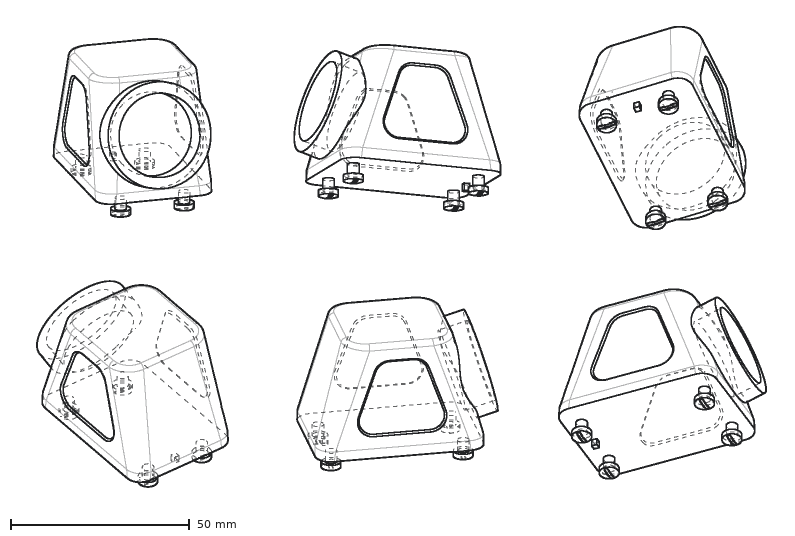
import cadquery as cq
import math

BASE_LENGTH = 48.0
BASE_WIDTH = 33.8
RING_HEIGHT = 3.05
RING_BOTTOM_CORNER = 4.5
RING_TOP_CORNER = 4.9
BODY_TOP = 34.0
END_DRAFT = 15.2
TOP_WIDTH = 31.1
TOP_CORNER = 7.0
TOP_EDGE_FILLET = 1.6

TUBE_DIAMETER = 30.0
BORE_DIAMETER = 23.6
TUBE_MOUTH_MAX_X = 53.65
TUBE_MOUTH_MIN_Z = 5.15
TUBE_LENGTH = 9.65
BORE_DEPTH = 8.6

RECESS_BOTTOM_Z = 6.6
RECESS_TOP_Z = 29.1
RECESS_BOTTOM_LENGTH = 29.3
RECESS_TOP_LENGTH = 13.4
RECESS_CORNER = 4.65
RECESS_DEPTH = 0.55
RECESS_BEVEL = 45.0

SCREW_SPACING_X = 37.65
SCREW_SPACING_Y = 18.55
SHAFT_DIAMETER = 3.3
SHAFT_LENGTH = 3.3
HEAD_DIAMETER = 5.6
HEAD_RIM = 1.6
HEAD_DOME = 0.6
SLOT_WIDTH = 1.0
SLOT_DEPTH = 0.45

PIN_SIDE = 1.6
PIN_LENGTH = 2.05

CENTER_X = BASE_LENGTH / 2
END_TAN = math.tan(math.radians(END_DRAFT))
BODY_HEIGHT = BODY_TOP - RING_HEIGHT
TOP_LENGTH = BASE_LENGTH - 2 * BODY_HEIGHT * END_TAN
SIDE_DRAFT = math.degrees(math.atan((BASE_WIDTH - TOP_WIDTH) / 2 / BODY_HEIGHT))


def rounded_rectangle(length, width, corner, z):
    """Closed outline centred on the hood at height z."""
    plane = cq.Workplane(origin=(CENTER_X, 0, z))
    plate = plane.rect(length, width).extrude(0.55).edges("|Z").fillet(corner)
    return plate.faces("<Z").wires().val()


def make_hood():
    ring_bottom = rounded_rectangle(BASE_LENGTH, BASE_WIDTH, RING_BOTTOM_CORNER, 0)
    ring_top = rounded_rectangle(BASE_LENGTH, BASE_WIDTH, RING_TOP_CORNER, RING_HEIGHT)
    body_top = rounded_rectangle(TOP_LENGTH, TOP_WIDTH, TOP_CORNER, BODY_TOP)
    ring = cq.Workplane(cq.Solid.makeLoft([ring_bottom, ring_top], True))
    body = cq.Workplane(cq.Solid.makeLoft([ring_top, body_top], True))
    body = body.faces(">Z").edges().fillet(TOP_EDGE_FILLET)
    return ring.union(body)


def recess_cutter(side):
    """Recess in the long wall facing side * Y, sketched on the drafted wall itself."""
    draft = math.radians(SIDE_DRAFT)
    inward = cq.Vector(0, -side * math.cos(draft), -math.sin(draft))
    wall_foot = cq.Vector(CENTER_X, side * BASE_WIDTH / 2, RING_HEIGHT)
    plane = cq.Plane(origin=wall_foot, xDir=(side, 0, 0), normal=inward)
    bottom = (RECESS_BOTTOM_Z - RING_HEIGHT) / math.cos(draft)
    top = (RECESS_TOP_Z - RING_HEIGHT) / math.cos(draft)
    outline = [
        (-RECESS_BOTTOM_LENGTH / 2, bottom),
        (RECESS_BOTTOM_LENGTH / 2, bottom),
        (RECESS_TOP_LENGTH / 2, top),
        (-RECESS_TOP_LENGTH / 2, top),
    ]
    sketch = cq.Sketch().polygon(outline + outline[:1]).vertices().fillet(RECESS_CORNER)
    return cq.Workplane(plane).placeSketch(sketch).extrude(RECESS_DEPTH, taper=RECESS_BEVEL)


def mouth_cylinder(diameter, length):
    """Cylinder running from the tube mouth back into the hood."""
    tilt = math.radians(END_DRAFT)
    radius = TUBE_DIAMETER / 2
    mouth_x = TUBE_MOUTH_MAX_X - radius * math.sin(tilt)
    mouth_z = TUBE_MOUTH_MIN_Z + radius * math.cos(tilt)
    inward = (-math.cos(tilt), 0, -math.sin(tilt))
    plane = cq.Plane(origin=(mouth_x, 0, mouth_z), xDir=(0, 1, 0), normal=inward)
    return cq.Workplane(plane).circle(diameter / 2).extrude(length)


def make_screw():
    """Screw hanging from the origin, with a domed head slotted along Y."""
    rim_top = -SHAFT_LENGTH
    rim_bottom = rim_top - HEAD_RIM
    tip = rim_bottom - HEAD_DOME
    shaft_radius = SHAFT_DIAMETER / 2
    head_radius = HEAD_DIAMETER / 2
    dome_radius = (head_radius**2 + HEAD_DOME**2) / (2 * HEAD_DOME)
    half_angle = math.asin(head_radius / dome_radius) / 2
    dome_mid = (
        dome_radius * math.sin(half_angle),
        tip + dome_radius * (1 - math.cos(half_angle)),
    )
    screw = (
        cq.Workplane("XZ")
        .lineTo(shaft_radius, 0)
        .lineTo(shaft_radius, rim_top)
        .lineTo(head_radius, rim_top)
        .lineTo(head_radius, rim_bottom)
        .threePointArc(dome_mid, (0, tip))
        .close()
        .revolve(360, (0, 0), (0, 1))
    )
    slot = cq.Workplane().box(SLOT_WIDTH, HEAD_DIAMETER, 2 * SLOT_DEPTH).translate((0, 0, tip))
    return screw.cut(slot)


def make_pin():
    pin_x = CENTER_X - SCREW_SPACING_X / 2
    return cq.Workplane().center(pin_x, 0).rect(PIN_SIDE, PIN_SIDE).extrude(-PIN_LENGTH)


result = make_hood()
result = result.union(mouth_cylinder(TUBE_DIAMETER, TUBE_LENGTH))
result = result.cut(mouth_cylinder(BORE_DIAMETER, BORE_DEPTH))

for wall_side in (-1, 1):
    result = result.cut(recess_cutter(wall_side))

screw = make_screw()
for x_side in (-1, 1):
    for y_side in (-1, 1):
        screw_x = CENTER_X + x_side * SCREW_SPACING_X / 2
        screw_y = y_side * SCREW_SPACING_Y / 2
        result = result.union(screw.translate((screw_x, screw_y, 0)))

result = result.union(make_pin())